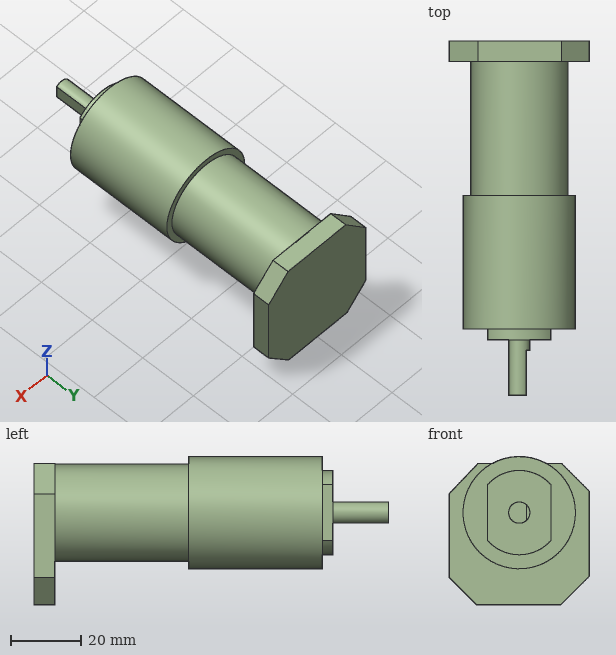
import cadquery as cq


plate_width = 40.0
plate_thickness = 6.0
plate_top = 14.0
plate_bottom = -26.3
top_left_run = 8.3
top_left_drop = 8.7
top_right_cut = 8.0
bottom_left_cut = 7.8
bottom_right_cut = 8.2

motor_diameter = 27.8
motor_length = 38.1
gearbox_diameter = 32.0
gearbox_length = 38.1

boss_diameter = 24.0
boss_width = 18.0
boss_length = 3.0

total_length = 101.0
shaft_diameter = 6.1
shaft_round_length = 3.0
shaft_flat_offset = 2.0

motor_back = -plate_thickness
gearbox_back = motor_back - motor_length
boss_back = gearbox_back - gearbox_length
shaft_back = boss_back - boss_length
shaft_length = total_length + shaft_back


def cylinder(diameter, back, length):
    """Cylinder on the shaft axis running from Y = back toward -Y."""
    return cq.Workplane("XZ", origin=(0, back, 0)).circle(diameter / 2).extrude(length)


def make_plate():
    """Flat plate with its four corners cut off."""
    right = plate_width / 2
    left = -right
    outline = [
        (left, plate_top - top_left_drop),
        (left + top_left_run, plate_top),
        (right - top_right_cut, plate_top),
        (right, plate_top - top_right_cut),
        (right, plate_bottom + bottom_right_cut),
        (right - bottom_right_cut, plate_bottom),
        (left + bottom_left_cut, plate_bottom),
        (left, plate_bottom + bottom_left_cut),
    ]
    return cq.Workplane("XZ").polyline(outline).close().extrude(plate_thickness)


def make_boss():
    """Round boss trimmed to two parallel flats."""
    between_flats = (
        cq.Workplane("XZ", origin=(0, boss_back, 0))
        .rect(boss_width, boss_diameter)
        .extrude(boss_length)
    )
    return cylinder(boss_diameter, boss_back, boss_length).intersect(between_flats)


def make_shaft():
    """Round shaft with a flat that runs out to its free end."""
    flat_back = shaft_back - shaft_round_length
    flat_cut = (
        cq.Workplane("XZ", origin=(shaft_flat_offset, flat_back, 0))
        .rect(shaft_diameter, shaft_diameter)
        .extrude(shaft_length)
        .translate((shaft_diameter / 2, 0, 0))
    )
    return cylinder(shaft_diameter, shaft_back, shaft_length).cut(flat_cut)


result = (
    make_plate()
    .union(cylinder(motor_diameter, motor_back, motor_length))
    .union(cylinder(gearbox_diameter, gearbox_back, gearbox_length))
    .union(make_boss())
    .union(make_shaft())
)